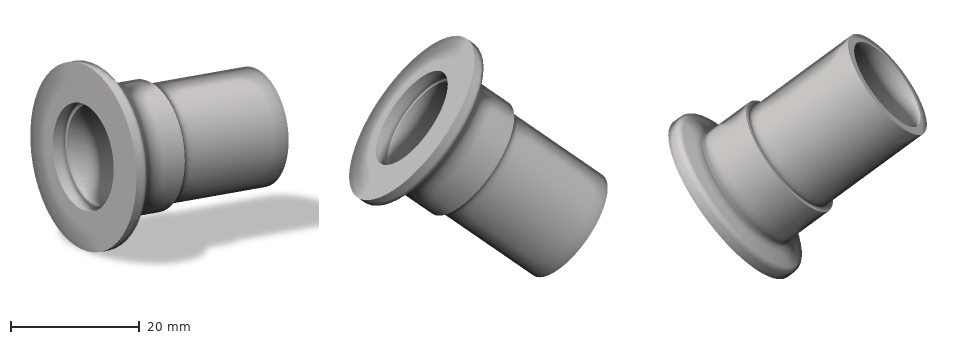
import cadquery as cq
import math

length = 32.0
flange_radius = 15.0
tube_radius = 9.5
sleeve_radius = 10.5
sleeve_end = 12.0

rim_width = 1.38
rim_round = 1.0
neck_fillet = 0.5
cone_angle = math.radians(15)

bore_radius = 8.0
recess_radius = 8.6
recess_depth = 2.2


def round_point(angle):
    """Point on the rim rounding, at an angle above the radial direction."""
    return (
        flange_radius - rim_round + rim_round * math.cos(angle),
        rim_width + rim_round * math.sin(angle),
    )


def fillet_point(angle):
    """Point on the concave neck fillet, at an angle from its sleeve end."""
    return (
        sleeve_radius + neck_fillet - neck_fillet * math.cos(angle),
        fillet_center_y - neck_fillet * math.sin(angle),
    )


turn = math.pi / 2 - cone_angle
cone_outer = round_point(turn)
cone_at_sleeve = cone_outer[1] + (cone_outer[0] - sleeve_radius) * math.tan(cone_angle)
fillet_center_y = cone_at_sleeve + neck_fillet * math.tan(turn / 2)

profile = (
    cq.Workplane("XY")
    .moveTo(recess_radius, 0)
    .lineTo(flange_radius, 0)
    .lineTo(flange_radius, rim_width)
    .threePointArc(round_point(turn / 2), cone_outer)
    .lineTo(*fillet_point(turn))
    .threePointArc(fillet_point(turn / 2), fillet_point(0))
    .lineTo(sleeve_radius, sleeve_end)
    .lineTo(tube_radius, sleeve_end)
    .lineTo(tube_radius, length)
    .lineTo(bore_radius, length)
    .lineTo(bore_radius, recess_depth)
    .lineTo(recess_radius, recess_depth)
    .close()
)

result = profile.revolve(360, (0, 0, 0), (0, 1, 0))